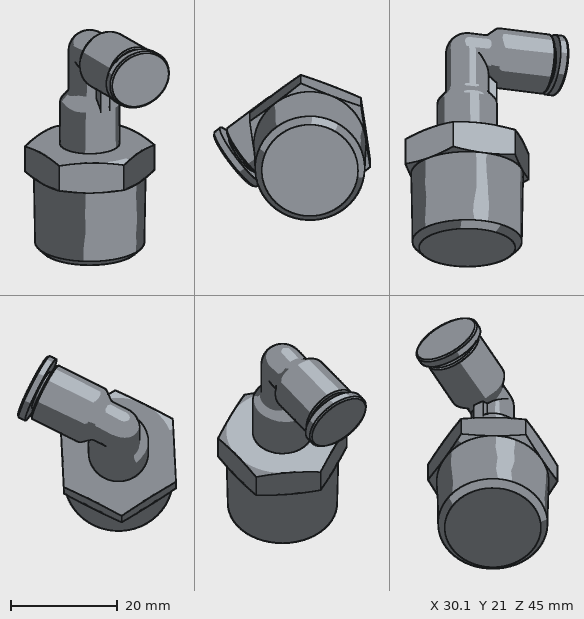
import cadquery as cq
import math

plug_height = 15.0
plug_top_radius = 10.5
plug_lower_radius = 10.25
plug_tip_radius = 9.0
plug_chamfer_height = 1.25

hex_across_flats = 21.0
hex_height = 6.0
hex_chamfer_drop = 0.5
hex_corner_radius = hex_across_flats / math.sqrt(3)
hex_face_radius = hex_across_flats / 2
hex_top = plug_height + hex_height

overall_height = 45.0
overall_length = 30.07
tube_radius = 4.0
sleeve_radius = 5.6
shoulder_length = 1.9
shoulder_round = 1.0
arm_axis_height = overall_height - sleeve_radius
stem_shoulder_top = 31.45
arm_shoulder_start = 3.5

sleeve_end = 15.6
sleeve_end_chamfer = 0.3
neck_radius = 3.75
collar_start = 16.3
arm_reach = overall_length - hex_corner_radius
collar_width = 13.0
collar_height = 11.0
collar_chamfer = 0.3

web_thickness = 2.0


def make_plug():
    """Tapered plug with a chamfered tip."""
    return (
        cq.Workplane("XZ")
        .moveTo(0, 0)
        .lineTo(plug_tip_radius, 0)
        .lineTo(plug_lower_radius, plug_chamfer_height)
        .lineTo(plug_top_radius, plug_height)
        .lineTo(0, plug_height)
        .close()
        .revolve(360, (0, 0, 0), (0, 1, 0))
    )


def make_hexagon():
    """Hexagon whose corners are turned off conically at both ends."""
    prism = (
        cq.Workplane("XY")
        .workplane(offset=plug_height)
        .polygon(6, 2 * hex_corner_radius)
        .extrude(hex_height)
    )
    turned_blank = (
        cq.Workplane("XZ")
        .moveTo(0, plug_height)
        .lineTo(hex_face_radius, plug_height)
        .lineTo(hex_corner_radius, plug_height + hex_chamfer_drop)
        .lineTo(hex_corner_radius, hex_top - hex_chamfer_drop)
        .lineTo(hex_face_radius, hex_top)
        .lineTo(0, hex_top)
        .close()
        .revolve(360, (0, 0, 0), (0, 1, 0))
    )
    return prism.intersect(turned_blank)


def make_stepped_tube(shoulder_start, end):
    """Tube along +Z from the origin, widening over a rounded conical shoulder to the sleeve."""
    shoulder_end = shoulder_start + shoulder_length
    tube = (
        cq.Workplane("XZ")
        .moveTo(0, 0)
        .lineTo(tube_radius, 0)
        .lineTo(tube_radius, shoulder_start)
        .lineTo(sleeve_radius, shoulder_end)
        .lineTo(sleeve_radius, end)
        .lineTo(0, end)
        .close()
        .revolve(360, (0, 0, 0), (0, 1, 0))
    )
    margin = shoulder_length / 4
    shoulder_zone = cq.selectors.BoxSelector(
        (-2 * sleeve_radius, -2 * sleeve_radius, shoulder_start - margin),
        (2 * sleeve_radius, 2 * sleeve_radius, shoulder_end + margin),
    )
    return tube.edges("%CIRCLE").edges(shoulder_zone).fillet(shoulder_round)


def make_stem():
    """Vertical leg, hanging from the arm axis down to the hexagon."""
    stem = make_stepped_tube(arm_axis_height - stem_shoulder_top, arm_axis_height - hex_top)
    return stem.rotate((0, 0, 0), (1, 0, 0), 180).translate((0, 0, arm_axis_height))


def make_arm():
    """Horizontal leg with its chamfered sleeve and the neck behind the collar."""
    sleeve = make_stepped_tube(arm_shoulder_start, sleeve_end).faces(">Z").chamfer(sleeve_end_chamfer)
    neck_base = cq.Workplane("XY").workplane(offset=sleeve_end)
    neck = neck_base.circle(neck_radius).extrude(collar_start - sleeve_end)
    arm = sleeve.union(neck)
    return arm.rotate((0, 0, 0), (0, 1, 0), 90).translate((0, 0, arm_axis_height))


def make_collar():
    """Oval release collar at the end of the arm."""
    return (
        cq.Workplane("YZ", origin=(collar_start, 0, arm_axis_height))
        .ellipse(collar_width / 2, collar_height / 2)
        .extrude(arm_reach - collar_start)
        .faces(">X")
        .chamfer(collar_chamfer)
    )


def make_web():
    """Flat web from the stem shoulder up to the arm, its outer edge flush with the stem sleeve."""
    web_bottom = stem_shoulder_top - shoulder_length - shoulder_round
    web_height = arm_axis_height - web_bottom
    base = cq.Workplane("XY").workplane(offset=web_bottom)
    plate = base.box(sleeve_radius, web_thickness, web_height, centered=(False, True, False))
    sleeve_envelope = base.circle(sleeve_radius).extrude(web_height)
    return plate.intersect(sleeve_envelope)


corner = cq.Workplane("XY").sphere(tube_radius).translate((0, 0, arm_axis_height))

result = make_plug().union(make_hexagon())
for piece in (make_stem(), make_arm(), corner, make_collar(), make_web()):
    result = result.union(piece)